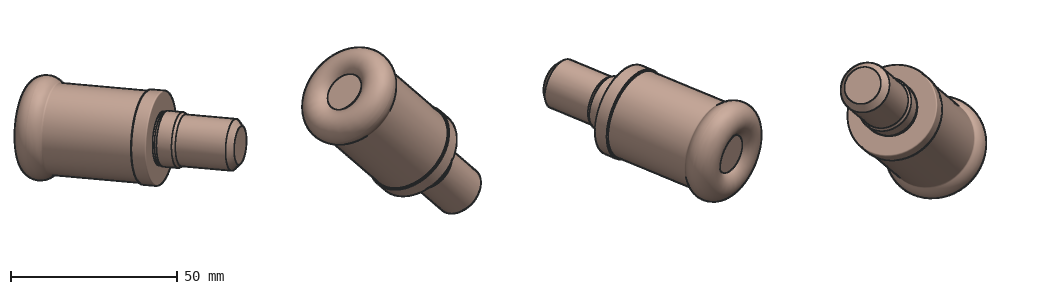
import cadquery as cq
import math


nose_radius = 31.95 / 2
bead_radius = 5.3
body_radius = 28.0 / 2
blend_radius = 0.8
recess_floor = 2.65
bumper_length = 37.95

total_length = 68.0
collar_radius = 29.0 / 2
collar_end = 42.85
collar_chamfer = 0.35
collar_round = 0.4
undercut_radius = 8.2
undercut_width = 0.6
undercut_taper = 0.75
shoulder_radius = 17.0 / 2
shoulder_end = 48.95
shoulder_taper = 1.0
shank_radius = 15.8 / 2
tip_chamfer = 2.05


def revolve_about_x(profile):
    """Turn a closed (x, radius) profile around the X axis."""
    return profile.close().revolve(360, (0, 0, 0), (1, 0, 0))


def make_bumper():
    bead_x = bead_radius
    bead_center_radius = nose_radius - bead_radius

    blend_center_radius = body_radius + blend_radius
    center_distance = bead_radius + blend_radius
    rise = blend_center_radius - bead_center_radius
    run = math.sqrt(center_distance**2 - rise**2)
    blend_x = bead_x + run
    contact_angle = math.atan2(rise, run)
    contact = (
        bead_x + bead_radius * math.cos(contact_angle),
        bead_center_radius + bead_radius * math.sin(contact_angle),
    )
    blend_middle_angle = (contact_angle - math.pi - math.pi / 2) / 2
    blend_middle = (
        blend_x + blend_radius * math.cos(blend_middle_angle),
        blend_center_radius + blend_radius * math.sin(blend_middle_angle),
    )

    floor_edge = bead_center_radius - math.sqrt(bead_radius**2 - (bead_x - recess_floor) ** 2)

    profile = (
        cq.Workplane("XY")
        .moveTo(recess_floor, 0)
        .lineTo(recess_floor, floor_edge)
        .threePointArc((0, bead_center_radius), (bead_x, nose_radius))
        .radiusArc(contact, bead_radius)
        .threePointArc(blend_middle, (blend_x, body_radius))
        .lineTo(bumper_length, body_radius)
        .lineTo(bumper_length, 0)
    )
    return revolve_about_x(profile)


def make_pin():
    undercut_end = collar_end + undercut_width
    profile = (
        cq.Workplane("XY")
        .moveTo(bumper_length, 0)
        .lineTo(bumper_length, collar_radius - collar_chamfer)
        .lineTo(bumper_length + collar_chamfer, collar_radius)
        .lineTo(collar_end - collar_round, collar_radius)
        .radiusArc((collar_end, collar_radius - collar_round), collar_round)
        .lineTo(collar_end, undercut_radius)
        .lineTo(undercut_end, undercut_radius)
        .lineTo(undercut_end + undercut_taper, shoulder_radius)
        .lineTo(shoulder_end, shoulder_radius)
        .lineTo(shoulder_end + shoulder_taper, shank_radius)
        .lineTo(total_length - tip_chamfer, shank_radius)
        .lineTo(total_length, shank_radius - tip_chamfer)
        .lineTo(total_length, 0)
    )
    return revolve_about_x(profile)


bumper = make_bumper()
pin = make_pin()

result = cq.Compound.makeCompound([bumper.val(), pin.val()])